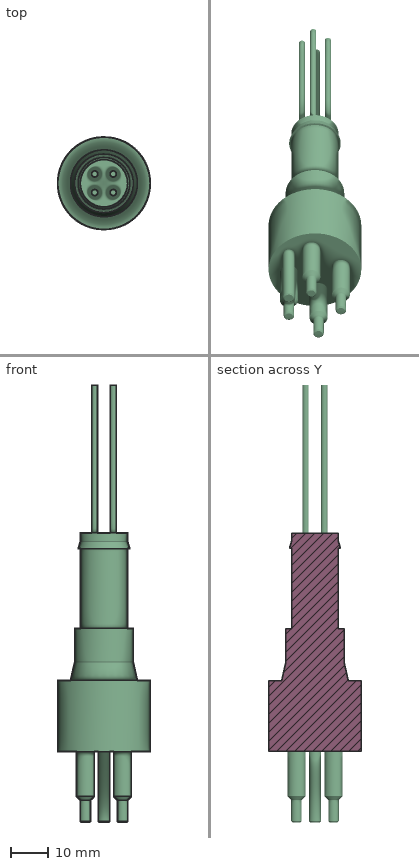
import cadquery as cq
import math

total_height = 117.8
base_bottom = 19.1
base_top = 38.3
flare_top = 43.2
collar_top = 52.3
lip_bottom = 73.7
lip_top = 75.7
barrel_top = 78.0

base_diameter = 25.0
flare_diameter = 18.0
collar_diameter = 15.8
barrel_diameter = 12.7
lip_diameter = 13.9

wire_diameter = 1.6
wire_circle_diameter = 7.1

pin_diameter = 4.8
pin_circle_diameter = 14.1
pin_taper_top = 7.1
pin_taper_bottom = 6.0
tip_diameter = 2.8
tip_chamfer = 0.4

ground_diameter = 3.2
ground_offset = 8.8

embed = 1.2


def square_positions(circle_diameter):
    """Corners of the square, sides along X and Y, inscribed in a circle about the axis."""
    offset = circle_diameter / 2 / math.sqrt(2)
    return [(x, y) for x in (-offset, offset) for y in (-offset, offset)]


def make_body():
    """Revolved base, flare, collar and lipped barrel."""
    base_radius = base_diameter / 2
    collar_radius = collar_diameter / 2
    barrel_radius = barrel_diameter / 2
    return (
        cq.Workplane("XZ")
        .moveTo(0, base_bottom)
        .lineTo(base_radius, base_bottom)
        .lineTo(base_radius, base_top)
        .lineTo(flare_diameter / 2, base_top)
        .lineTo(collar_radius, flare_top)
        .lineTo(collar_radius, collar_top)
        .lineTo(barrel_radius, collar_top)
        .lineTo(barrel_radius, lip_bottom)
        .lineTo(lip_diameter / 2, lip_bottom)
        .lineTo(barrel_radius, lip_top)
        .lineTo(barrel_radius, barrel_top)
        .lineTo(0, barrel_top)
        .close()
        .revolve(360, (0, 0), (0, 1))
    )


def make_contact_pin():
    """Stepped pin on the axis: wide shank, short taper and narrow chamfered tip."""
    tip_radius = tip_diameter / 2
    pin_radius = pin_diameter / 2
    return (
        cq.Workplane("XZ")
        .lineTo(tip_radius - tip_chamfer, 0)
        .lineTo(tip_radius, tip_chamfer)
        .lineTo(tip_radius, pin_taper_bottom)
        .lineTo(pin_radius, pin_taper_top)
        .lineTo(pin_radius, base_bottom + embed)
        .lineTo(0, base_bottom + embed)
        .close()
        .revolve(360, (0, 0), (0, 1))
    )


def make_ground_pin():
    """Straight pin with a chamfered end, off to the +Y side."""
    return (
        cq.Workplane("XY")
        .center(0, ground_offset)
        .circle(ground_diameter / 2)
        .extrude(base_bottom + embed)
        .faces("<Z")
        .chamfer(tip_chamfer)
    )


def make_wires():
    """Four straight wires rising from the end of the barrel."""
    wire_start = barrel_top - embed
    return (
        cq.Workplane("XY")
        .workplane(offset=wire_start)
        .pushPoints(square_positions(wire_circle_diameter))
        .circle(wire_diameter / 2)
        .extrude(total_height - wire_start)
    )


result = make_body().union(make_ground_pin()).union(make_wires())
contact_pin = make_contact_pin()
for x, y in square_positions(pin_circle_diameter):
    result = result.union(contact_pin.translate((x, y, 0)))